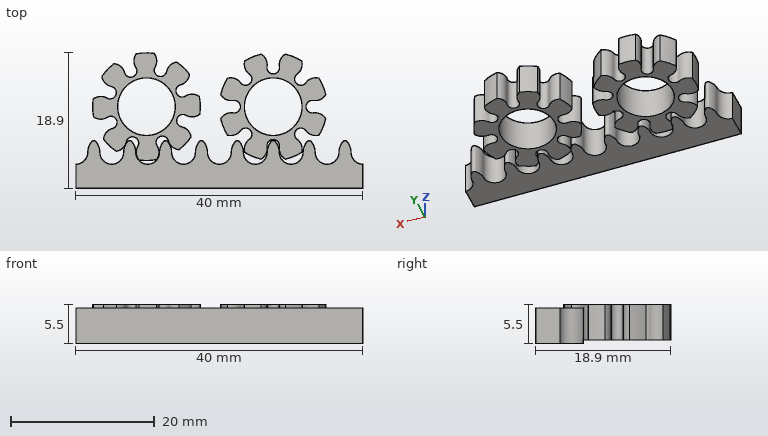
import cadquery as cq
import math

rack_length = 40.0
rack_tooth_count = 8
tooth_pitch = rack_length / rack_tooth_count
thickness = 5.0
pitch_line_y = 5.0
rack_tip_y = 6.65
rack_gap_radius = 1.65
rack_flank_radius = 2.4
rack_tip_radius = 0.4

gear_tooth_count = 8
gear_pitch_radius = gear_tooth_count * tooth_pitch / (2 * math.pi)
gear_outer_radius = 7.5
gear_bore_diameter = 8.0
gear_tooth_half_width = 1.6
gear_flank_radius = 1.7
slot_centre_radius = 5.45
tooth_step = 360.0 / gear_tooth_count
half_step = tooth_step / 2
gear_lift = thickness / 10
gear_axis_y = pitch_line_y + gear_pitch_radius

first_gear_gap_x = 2 * tooth_pitch
first_gear_roll = -0.15
second_gear_x = 5.5 * tooth_pitch


def polar(radius, degrees):
    angle = math.radians(degrees)
    return cq.Vector(radius * math.cos(angle), radius * math.sin(angle))


def toward(start, target, distance):
    """The point at a distance from start, in the direction of target."""
    return start + (target - start).normalized() * distance


def circle_crossing(centre_a, radius_a, centre_b, radius_b):
    """The crossing of two circles that lies left of the line from centre_a to centre_b."""
    span = (centre_b - centre_a).Length
    along = (radius_a**2 - radius_b**2 + span**2) / (2 * span)
    aside = math.sqrt(radius_a**2 - along**2)
    direction = (centre_b - centre_a).normalized()
    left = cq.Vector(-direction.y, direction.x)
    return centre_a + direction * along + left * aside


def turned(point, degrees):
    """The point turned counterclockwise about the origin."""
    angle = math.radians(degrees)
    return cq.Vector(
        point.x * math.cos(angle) - point.y * math.sin(angle),
        point.x * math.sin(angle) + point.y * math.cos(angle),
    )


def mirror_x(point):
    return cq.Vector(-point.x, point.y)


def mirror_y(point):
    return cq.Vector(point.x, -point.y)


def make_rack():
    gap_centre = cq.Vector(tooth_pitch / 2, pitch_line_y)
    tip_centre = cq.Vector(0, rack_tip_y - rack_tip_radius)
    flank_centre = circle_crossing(
        gap_centre, rack_gap_radius + rack_flank_radius,
        tip_centre, rack_flank_radius - rack_tip_radius,
    )
    gap_bottom = gap_centre - cq.Vector(0, rack_gap_radius)
    flank_foot = toward(flank_centre, gap_centre, rack_flank_radius)
    flank_top = toward(flank_centre, tip_centre, rack_flank_radius)
    flank_middle = toward(flank_centre, (flank_foot + flank_top) / 2, rack_flank_radius)
    gap_middle = toward(gap_centre, (flank_foot + gap_bottom) / 2, rack_gap_radius)
    tip = cq.Vector(0, rack_tip_y)

    outline = cq.Workplane("XY").lineTo(0, gap_bottom.y)
    for tooth in range(rack_tooth_count):
        axis = cq.Vector((tooth + 0.5) * tooth_pitch, 0)
        outline = (
            outline
            .threePointArc(axis + mirror_x(gap_middle), axis + mirror_x(flank_foot))
            .threePointArc(axis + mirror_x(flank_middle), axis + mirror_x(flank_top))
            .threePointArc(axis + tip, axis + flank_top)
            .threePointArc(axis + flank_middle, axis + flank_foot)
            .threePointArc(axis + gap_middle, axis + gap_bottom)
        )
    return outline.lineTo(rack_length, 0).close().extrude(thickness)


def make_gear(axis_x, turn):
    """A gear whose first tooth is turned by the given degrees from +X."""
    flank_centre = cq.Vector(gear_pitch_radius, gear_tooth_half_width - gear_flank_radius)
    slot_centre = polar(slot_centre_radius, half_step)
    slot_radius = (slot_centre - flank_centre).Length - gear_flank_radius
    flank_foot = toward(flank_centre, slot_centre, gear_flank_radius)
    flank_side = cq.Vector(gear_pitch_radius, gear_tooth_half_width)
    corner = circle_crossing(cq.Vector(), gear_outer_radius, flank_centre, gear_flank_radius)
    tip = cq.Vector(gear_outer_radius, 0)
    slot_bottom = polar(slot_centre_radius - slot_radius, half_step)

    outline = cq.Workplane("XY").moveTo(flank_foot.x, -flank_foot.y)
    for tooth in range(gear_tooth_count):
        angle = tooth * tooth_step
        next_foot = turned(mirror_y(flank_foot), angle + tooth_step)
        outline = (
            outline
            .threePointArc(turned(mirror_y(flank_side), angle), turned(mirror_y(corner), angle))
            .threePointArc(turned(tip, angle), turned(corner, angle))
            .threePointArc(turned(flank_side, angle), turned(flank_foot, angle))
            .threePointArc(turned(slot_bottom, angle), next_foot)
        )
    body = outline.close().extrude(thickness)
    bore = cq.Workplane("XY").circle(gear_bore_diameter / 2).extrude(thickness)
    gear = body.cut(bore).rotate((0, 0, 0), (0, 0, 1), turn)
    return gear.translate((axis_x, gear_axis_y, gear_lift))


rack = make_rack()
first_gear = make_gear(
    first_gear_gap_x + first_gear_roll,
    math.degrees(-first_gear_roll / gear_pitch_radius),
)
second_gear = make_gear(second_gear_x, half_step)

result = cq.Compound.makeCompound([rack.val(), first_gear.val(), second_gear.val()])